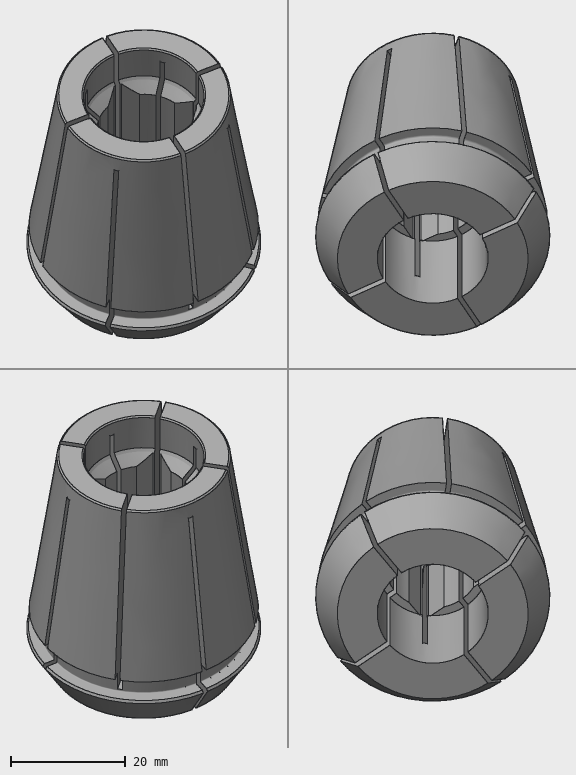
import cadquery as cq
import math

height = 46.0
top_radius = 15.1
taper_angle = 8.0
top_edge_chamfer = 0.28

flange_diameter = 40.8
flange_radius = flange_diameter / 2
flange_base_radius = 16.6
flange_cone_angle = 30.0
flange_rim_rise = 0.45
flange_rim_inset = 0.3
groove_radius = 18.1
groove_top_z = 11.2
groove_top_fillet = 0.35
groove_bottom_fillet = 0.2

counterbore_radius = 10.5
counterbore_mouth_chamfer = 0.28
counterbore_bottom_z = 38.82
seat_radius = 10.07
seat_top_z = 38.25
seat_bottom_z = 36.55

pilot_radius = 8.2
square_side = 15.1
square_corner_radius = 10.0
shank_radius = 9.65
shank_bore_depth = seat_bottom_z / 2

slit_width = 0.87
slit_overrun = 4.6
axis_slit_top_z = 43.0
diagonal_slit_floor_z = 7.5

taper_slope = math.tan(math.radians(taper_angle))
flange_rim_z = (flange_radius - flange_base_radius) / math.tan(math.radians(flange_cone_angle))
flange_top_z = flange_rim_z + flange_rim_rise


def taper_radius(z):
    """Outer radius of the tapered body at height z."""
    return top_radius + (height - z) * taper_slope


def outer_body():
    """Tapered body, groove and flange as one revolved profile."""
    arc_share = 1 - math.sqrt(0.5)
    bottom_arc = groove_bottom_fillet * arc_share
    top_arc = groove_top_fillet * arc_share
    chamfer_z = height - top_edge_chamfer
    profile = (
        cq.Workplane("XZ")
        .moveTo(0, 0)
        .lineTo(flange_base_radius, 0)
        .lineTo(flange_radius, flange_rim_z)
        .lineTo(flange_radius - flange_rim_inset, flange_top_z)
        .lineTo(groove_radius + groove_bottom_fillet, flange_top_z)
        .threePointArc(
            (groove_radius + bottom_arc, flange_top_z + bottom_arc),
            (groove_radius, flange_top_z + groove_bottom_fillet),
        )
        .lineTo(groove_radius, groove_top_z - groove_top_fillet)
        .threePointArc(
            (groove_radius + top_arc, groove_top_z - top_arc),
            (groove_radius + groove_top_fillet, groove_top_z),
        )
        .lineTo(taper_radius(groove_top_z), groove_top_z)
        .lineTo(taper_radius(chamfer_z), chamfer_z)
        .lineTo(top_radius - top_edge_chamfer, height)
        .lineTo(0, height)
        .close()
    )
    return profile.revolve(360, (0, 0, 0), (0, 1, 0))


def round_bore():
    """Shank bore, pilot bore, conical seat and counterbore as one revolved cutter."""
    profile = (
        cq.Workplane("XZ")
        .moveTo(0, 0)
        .lineTo(shank_radius, 0)
        .lineTo(shank_radius, shank_bore_depth)
        .lineTo(pilot_radius, shank_bore_depth)
        .lineTo(pilot_radius, seat_bottom_z)
        .lineTo(seat_radius, seat_top_z)
        .lineTo(counterbore_radius, counterbore_bottom_z)
        .lineTo(counterbore_radius, height - counterbore_mouth_chamfer)
        .lineTo(counterbore_radius + counterbore_mouth_chamfer, height)
        .lineTo(0, height)
        .close()
    )
    return profile.revolve(360, (0, 0, 0), (0, 1, 0))


def square_hole():
    """Square cutter with its corners clipped by a cylinder."""
    length = seat_top_z - shank_bore_depth
    base = cq.Workplane("XY").workplane(offset=shank_bore_depth)
    square = base.rect(square_side, square_side).extrude(length)
    corner_cylinder = base.circle(square_corner_radius).extrude(length)
    return square.intersect(corner_cylinder)


def slit_pair(first_angle, bottom_z, top_z):
    """Two crossed slits spanning the whole width, from bottom_z to top_z."""
    length = 2 * flange_radius + slit_overrun
    slit = cq.Workplane("XY").workplane(offset=bottom_z).rect(length, slit_width).extrude(top_z - bottom_z)
    cutters = [slit.rotate((0, 0, 0), (0, 0, 1), first_angle + turn) for turn in (0, 90)]
    return cutters[0].union(cutters[1])


result = (
    outer_body()
    .cut(round_bore())
    .cut(square_hole())
    .cut(slit_pair(0, 0, axis_slit_top_z))
    .cut(slit_pair(45, diagonal_slit_floor_z, height))
)